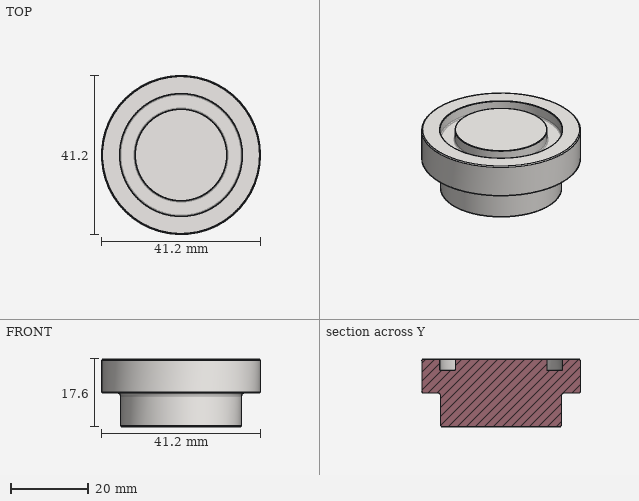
import cadquery as cq

flange_diameter = 41.25
total_height = 17.55
flange_thickness = 8.8
stem_height = total_height - flange_thickness
stem_diameter = 31.5

recess_diameter = 31.75
post_diameter = 23.9
recess_depth = 2.95

outer_chamfer = 0.3
neck_fillet = 0.75
recess_lip_chamfer = 0.12
recess_floor_fillet = 0.25


def cylinder(diameter, height, base_z):
    """Vertical cylinder centred on the part axis."""
    return cq.Workplane("XY").workplane(offset=base_z).circle(diameter / 2).extrude(height)


def recess_cutter():
    """Ring with rounded lower edges, matching the fillets of the recess floor."""
    floor_z = total_height - recess_depth
    ring = cylinder(recess_diameter, recess_depth, floor_z)
    ring = ring.cut(cylinder(post_diameter, recess_depth, floor_z))
    return ring.faces("<Z").edges().fillet(recess_floor_fillet)


flange = cylinder(flange_diameter, flange_thickness, stem_height).edges().chamfer(outer_chamfer)

stem = cylinder(stem_diameter, stem_height, 0).faces("<Z").edges().chamfer(outer_chamfer)

underside_point = (0, (flange_diameter + stem_diameter) / 4, stem_height)
body = flange.union(stem)
body = body.faces(cq.selectors.NearestToPointSelector(underside_point))
body = body.edges(cq.selectors.RadiusNthSelector(0)).fillet(neck_fillet)

result = body.cut(recess_cutter())
recess_edge_limit = (recess_diameter + flange_diameter) / 4
recess_edges = result.faces(">Z").edges().filter(lambda edge: edge.radius() < recess_edge_limit)
result = recess_edges.chamfer(recess_lip_chamfer)